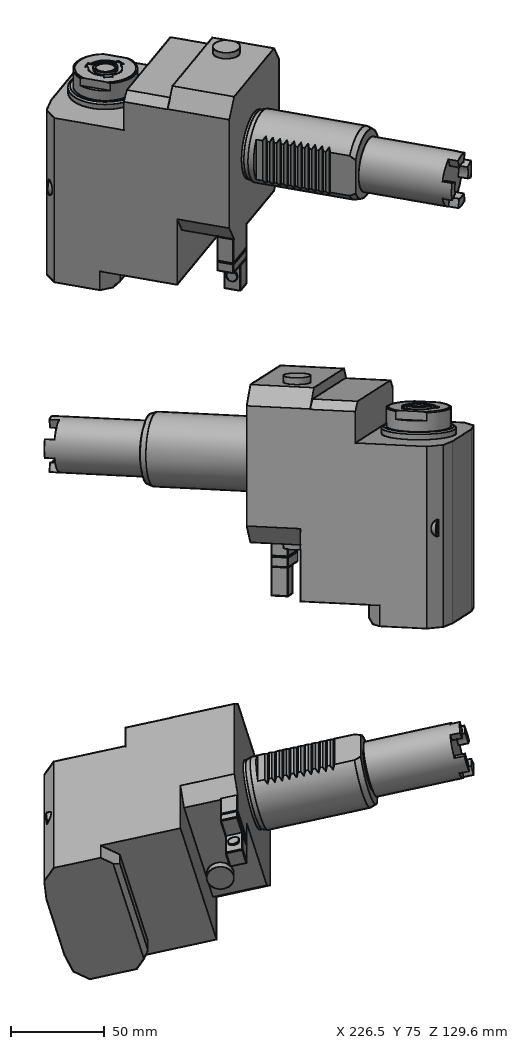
import cadquery as cq
import math


overall_length = 226.5
left_x = -108.5
overall_width = 75.0
half_width = overall_width / 2
bottom_z = -83.0
base_floor_z = -71.5
flange_bottom_z = -42.4
shoulder_z = 15.6
step_z = 37.4
top_z = 43.0
rear_x = -29.7
shoulder_x = -60.0
step_x = -35.1

nose_flat_half_width = 18.8
nose_taper_length = 1.8
nose_bevel_x = left_x + nose_taper_length
nose_bevel_half_width = 30.4
nose_length = 9.0
nose_corner_x = left_x + nose_length

flange_bevel_width = 7.5
flange_bevel_height = 10.2
step_bevel = 4.8

foot_x = -73.6
foot_bevel = 8.4
foot_end_x = foot_x + foot_bevel
foot_edge_chamfer = 3.0

button_x = -22.0
button_y = 16.3
button_radius = 7.2
top_button_height = 3.6
bottom_button_height = 4.0

plug_end_x = -104.7
plug_y = 30.0
plug_z = -29.0
plug_radius = 5.7
plug_length = 9.0
plug_chamfer = 0.7

nut_x = -84.7
nut_flange_radius = 20.0
nut_flange_height = 3.9
nut_flange_chamfer_width = 1.1
nut_flange_chamfer_height = 1.0
nut_radius = 17.2
nut_height = 14.5
nut_chamfer_width = 1.0
nut_chamfer_height = 0.5
nut_flat_half_width = 15.0
nut_flat_height = 4.8
key_radius = 9.0
key_lobe_radius = 10.6
key_lobe_width = 4.5
key_lobe_count = 3
key_depth = 0.7
collet_radius = 6.5
collet_rise = 0.7
collet_bore_radius = 5.5
collet_bore_depth = 1.0

shank_diameter = 40.0
shank_radius = shank_diameter / 2
shank_length = 64.0
shank_end_chamfer_length = 3.5
shank_end_chamfer_depth = 1.1
collar_radius = 19.0
collar_length = 1.4
collar_taper_end_x = 4.0
serration_flat_y = -16.0
serration_flat_x = 7.2
groove_count = 10
groove_span = 36.0
groove_pitch = groove_span / (groove_count - 1)
first_groove_x = 12.2
groove_depth = 1.7
groove_half_width = 1.25

neck_radius = 11.3
drive_x = 65.2
drive_end_x = left_x + overall_length
drive_diameter = 30.1
drive_radius = drive_diameter / 2
claw_count = 4
claw_depth = 5.5
claw_bore_radius = 10.0
claw_half_angle = 20

connector_width = 9.5
connector_front_y = -30.8
connector_back_y = -10.9
connector_split_z = -56.9
connector_block_bottom_z = -62.8
post_front_y = -20.5
post_bottom_z = -78.4
connector_chamfer = 0.5
nozzle_x = -4.8
nozzle_z = -69.8
nozzle_diameter = 6.1
nozzle_rise = 1.0


def box_between(x_range, y_range, z_range):
    """Box given by its lower and upper limits along each axis."""
    (x0, x1), (y0, y1), (z0, z1) = x_range, y_range, z_range
    return cq.Workplane("XY").box(x1 - x0, y1 - y0, z1 - z0, centered=False).translate((x0, y0, z0))


def upright_cylinder(x, y, z, radius, height):
    return cq.Workplane("XY", origin=(x, y, z)).circle(radius).extrude(height)


def prism_along_x(x_start, x_end, points):
    return cq.Workplane("YZ", origin=(x_start, 0, 0)).polyline(points).close().extrude(x_end - x_start)


def make_housing():
    side = (
        cq.Workplane("XZ", origin=(0, half_width, 0))
        .polyline([
            (left_x, bottom_z),
            (foot_end_x - foot_edge_chamfer, bottom_z),
            (foot_end_x, bottom_z + foot_edge_chamfer),
            (foot_end_x, base_floor_z),
            (rear_x, base_floor_z),
            (rear_x, flange_bottom_z),
            (0, flange_bottom_z),
            (0, top_z),
            (step_x, top_z),
            (step_x, step_z),
            (shoulder_x, step_z),
            (shoulder_x, shoulder_z),
            (left_x, shoulder_z),
        ])
        .close()
        .extrude(overall_width)
    )

    half_plan = [
        (left_x, nose_flat_half_width),
        (nose_bevel_x, nose_bevel_half_width),
        (nose_corner_x, half_width),
        (0, half_width),
    ]
    mirrored_half = [(x, -y) for x, y in reversed(half_plan)]
    nose_plan = (
        cq.Workplane("XY", origin=(0, 0, bottom_z))
        .polyline(half_plan + mirrored_half)
        .close()
        .extrude(top_z - bottom_z)
    )
    housing = side.intersect(nose_plan)

    for side_sign in (1, -1):
        edge_y = side_sign * half_width
        flange_bevel_y = edge_y - side_sign * flange_bevel_width
        step_bevel_y = edge_y - side_sign * step_bevel

        housing = housing.cut(prism_along_x(step_x, 0, [
            (edge_y, top_z - flange_bevel_height), (flange_bevel_y, top_z), (edge_y, top_z),
        ]))
        housing = housing.cut(prism_along_x(shoulder_x, step_x, [
            (edge_y, step_z - step_bevel), (step_bevel_y, step_z), (edge_y, step_z),
        ]))
        housing = housing.cut(prism_along_x(rear_x, 0, [
            (edge_y, flange_bottom_z + flange_bevel_height),
            (flange_bevel_y, flange_bottom_z),
            (edge_y, flange_bottom_z),
        ]))

        foot_corner = (
            cq.Workplane("XY", origin=(0, 0, bottom_z))
            .polyline([
                (foot_x, edge_y), (foot_end_x, edge_y), (foot_end_x, edge_y - side_sign * foot_bevel),
            ])
            .close()
            .extrude(base_floor_z - bottom_z)
        )
        housing = housing.cut(foot_corner)
    return housing


def make_buttons():
    top_button = upright_cylinder(button_x, button_y, top_z, button_radius, top_button_height)
    bottom_button = upright_cylinder(button_x, button_y, flange_bottom_z, button_radius, -bottom_button_height)
    return top_button.union(bottom_button)


def make_plug(side_sign):
    center = (plug_end_x, side_sign * plug_y, plug_z)
    plug = cq.Workplane("YZ", origin=center).circle(plug_radius).extrude(plug_length)
    return plug.faces("<X").chamfer(plug_chamfer)


def make_nut():
    nut_top_z = shoulder_z + nut_height
    flange = upright_cylinder(nut_x, 0, shoulder_z, nut_flange_radius, nut_flange_height)
    flange = flange.faces(">Z").chamfer(nut_flange_chamfer_height, nut_flange_chamfer_width)
    cap = upright_cylinder(nut_x, 0, shoulder_z, nut_radius, nut_height)
    cap = cap.faces(">Z").chamfer(nut_chamfer_height, nut_chamfer_width)

    x_range = (nut_x - nut_radius, nut_x + nut_radius)
    z_range = (nut_top_z - nut_flat_height, nut_top_z)
    cap = cap.cut(box_between(x_range, (nut_flat_half_width, nut_radius), z_range))
    cap = cap.cut(box_between(x_range, (-nut_radius, -nut_flat_half_width), z_range))

    recess = upright_cylinder(nut_x, 0, nut_top_z, key_radius, -key_depth)
    for index in range(key_lobe_count):
        lobe = box_between(
            (nut_x - key_lobe_radius, nut_x),
            (-key_lobe_width / 2, key_lobe_width / 2),
            (nut_top_z - key_depth, nut_top_z),
        )
        turn = index * 360 / key_lobe_count
        recess = recess.union(lobe.rotate((nut_x, 0, 0), (nut_x, 0, 1), turn))
    collet = upright_cylinder(nut_x, 0, shoulder_z, collet_radius, nut_height + collet_rise)
    collet = collet.faces(">Z").workplane().circle(collet_bore_radius).cutBlind(-collet_bore_depth)
    return flange.union(cap.cut(recess)).union(collet)


def make_shank():
    end_chamfer_x = shank_length - shank_end_chamfer_length
    shank = (
        cq.Workplane("XY")
        .polyline([
            (0, 0),
            (0, collar_radius),
            (collar_length, collar_radius),
            (collar_taper_end_x, shank_radius),
            (end_chamfer_x, shank_radius),
            (shank_length, shank_radius - shank_end_chamfer_depth),
            (shank_length, neck_radius),
            (drive_x, neck_radius),
            (drive_x, drive_radius),
            (drive_end_x, drive_radius),
            (drive_end_x, 0),
        ])
        .close()
        .revolve(360, (0, 0, 0), (1, 0, 0))
    )

    shank = shank.cut(box_between(
        (serration_flat_x, shank_length), (-shank_radius, serration_flat_y), (-shank_radius, shank_radius),
    ))
    for index in range(groove_count):
        groove_x = first_groove_x + index * groove_pitch
        groove = (
            cq.Workplane("XY", origin=(0, 0, -shank_radius))
            .polyline([
                (groove_x - groove_half_width, serration_flat_y),
                (groove_x, serration_flat_y + groove_depth),
                (groove_x + groove_half_width, serration_flat_y),
            ])
            .close()
            .extrude(shank_diameter)
        )
        shank = shank.cut(groove)

    end_plane = cq.Workplane("YZ", origin=(drive_end_x, 0, 0))
    shank = shank.cut(end_plane.circle(claw_bore_radius).extrude(-claw_depth))
    claw_spacing = 360 / claw_count
    gap_reach = drive_diameter
    gap_start = math.radians(claw_half_angle)
    gap_end = math.radians(claw_spacing - claw_half_angle)
    gap = (
        end_plane
        .polyline([
            (0, 0),
            (gap_reach * math.cos(gap_start), gap_reach * math.sin(gap_start)),
            (gap_reach * math.cos(gap_end), gap_reach * math.sin(gap_end)),
        ])
        .close()
        .extrude(-claw_depth)
    )
    for index in range(claw_count):
        shank = shank.cut(gap.rotate((0, 0, 0), (1, 0, 0), index * claw_spacing))
    return shank


def make_connector():
    x_range = (-connector_width, 0)
    y_range = (connector_front_y, connector_back_y)
    upper_block = box_between(x_range, y_range, (connector_split_z, flange_bottom_z))
    lower_block = box_between(x_range, y_range, (connector_block_bottom_z, connector_split_z))
    post = box_between(x_range, (post_front_y, connector_back_y), (post_bottom_z, connector_block_bottom_z))
    upper_block = upper_block.edges("|Z or <Z").chamfer(connector_chamfer)
    lower_block = lower_block.edges("|Z or <Z or >Z").chamfer(connector_chamfer)
    post = post.edges("|Z or <Z").chamfer(connector_chamfer)
    nozzle = (
        cq.Workplane("XZ", origin=(nozzle_x, post_front_y, nozzle_z))
        .circle(nozzle_diameter / 2)
        .extrude(nozzle_rise)
    )
    return upper_block.union(lower_block).union(post).union(nozzle)


result = make_housing().union(make_buttons())
for plug_side in (1, -1):
    result = result.union(make_plug(plug_side))
result = result.union(make_nut()).union(make_shank()).union(make_connector())